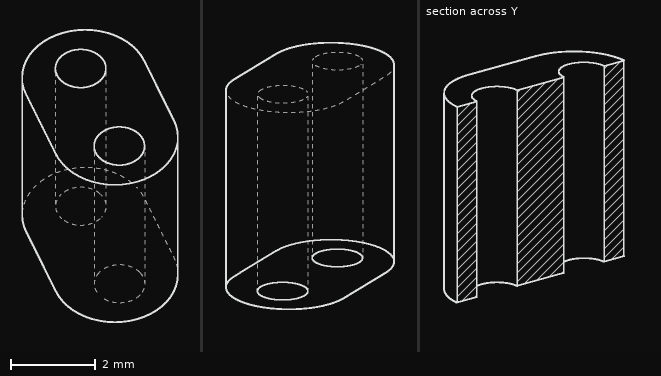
import cadquery as cq

length = 5.0
width = 3.0
height = 5.0

hole_diameter = 1.2
hole_spacing = 2.6

body = cq.Workplane("XY").slot2D(length, width).extrude(height)

hole_centres = [(-hole_spacing / 2, 0), (hole_spacing / 2, 0)]
holes = cq.Workplane("XY").pushPoints(hole_centres).circle(hole_diameter / 2).extrude(height)

result = body.cut(holes)